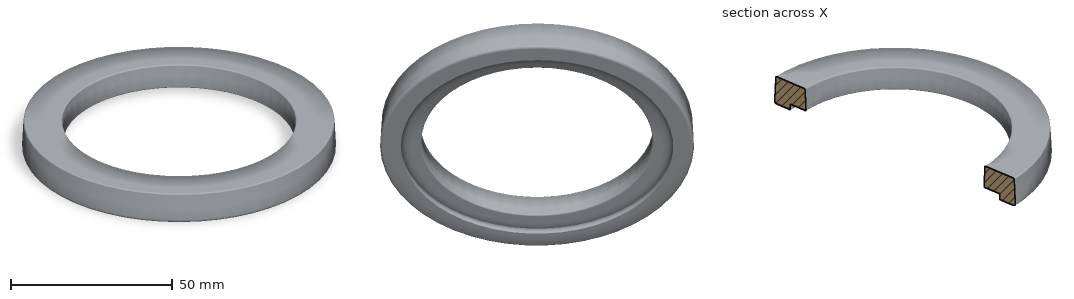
import cadquery as cq
import math

outer_diameter = 97.3
bore_diameter = 71.6
height = 10.0
draft_angle = 3.0
top_edge_radius = 0.5
bottom_edge_radius = 1.0
bore_edge_radius = 0.5
recess_depth = 2.0
recess_diameter = 84.4

draft = math.radians(draft_angle)
draft_slope = math.tan(draft)
round_height_factor = 1 + math.sin(draft)
base_radius = outer_diameter / 2 + bottom_edge_radius * round_height_factor * draft_slope
top_radius = base_radius - height * draft_slope
bore_lower_radius = bore_diameter / 2 - bore_edge_radius * round_height_factor * draft_slope
bore_upper_radius = bore_lower_radius + (height - recess_depth) * draft_slope
recess_radius = recess_diameter / 2

half_section = (
    cq.Workplane("XZ")
    .moveTo(recess_radius, 0)
    .lineTo(base_radius, 0)
    .lineTo(top_radius, height)
    .lineTo(bore_upper_radius, height)
    .lineTo(bore_lower_radius, recess_depth)
    .lineTo(recess_radius, recess_depth)
    .close()
)
ring = half_section.revolve(360, (0, 0, 0), (0, 1, 0))


def round_rim(body, rim_radius, rim_height, edge_radius):
    """Round the circular edge with the given radius and height."""
    tolerance = 0.0001
    rim = [
        edge
        for edge in body.edges("%CIRCLE").vals()
        if abs(edge.radius() - rim_radius) < tolerance
        and abs(edge.Center().z - rim_height) < tolerance
    ]
    return body.newObject(rim).fillet(edge_radius)


ring = round_rim(ring, top_radius, height, top_edge_radius)
ring = round_rim(ring, base_radius, 0, bottom_edge_radius)
ring = round_rim(ring, bore_upper_radius, height, bore_edge_radius)
ring = round_rim(ring, bore_lower_radius, recess_depth, bore_edge_radius)

result = ring